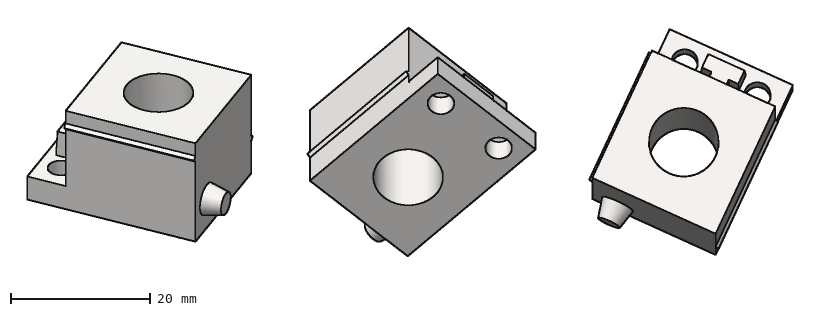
import cadquery as cq

ledge_length = 6.05
block_length = 20.47
body_width = 19.5
body_height = 17.0
ledge_height = 4.0
body_length = ledge_length + block_length
block_center_x = ledge_length + block_length / 2
bore_diameter = 10.0

mount_hole_diameter = 3.8
mount_hole_x = 3.5
mount_hole_spacing = 11.5

ridge_depth = 0.5
front_ridge_z = 14.3
back_ridge_z = 6.05

key_start_x = 1.5
key_head_length = 2.48
key_head_width = 6.05
key_stem_width = 3.05
key_height = 4.05
key_draft_angle = 2.2
key_overlap = 0.88

peg_base_diameter = 4.9
peg_tip_diameter = 3.45
peg_length = 29.5 - body_length
peg_y = -mount_hole_spacing / 2
peg_z = 5.0


def make_body():
    """L-shaped side profile, extruded across the full width."""
    return (
        cq.Workplane("XZ")
        .polyline([
            (0, 0),
            (body_length, 0),
            (body_length, body_height),
            (ledge_length, body_height),
            (ledge_length, ledge_height),
            (0, ledge_height),
        ])
        .close()
        .extrude(body_width / 2, both=True)
    )


def make_ridge(side, center_z):
    """Triangular ridge on the +Y (side = 1) or -Y (side = -1) block face."""
    face_y = side * body_width / 2
    return (
        cq.Workplane("YZ", origin=(ledge_length, face_y, center_z))
        .polyline([(0, -ridge_depth), (side * ridge_depth, 0), (0, ridge_depth)])
        .close()
        .extrude(block_length)
    )


def make_drafted_bar(start_x, end_x, width):
    """Rectangular bar standing on the ledge and narrowing upward on all sides."""
    return (
        cq.Workplane("XY", origin=((start_x + end_x) / 2, 0, ledge_height))
        .rect(end_x - start_x, width)
        .extrude(key_height, taper=key_draft_angle)
    )


def make_key():
    """T-shaped key: a wide head, and a narrow stem that runs into the block."""
    head = make_drafted_bar(key_start_x, key_start_x + key_head_length, key_head_width)
    stem = make_drafted_bar(key_start_x, ledge_length + key_overlap, key_stem_width)
    return head.union(stem)


def make_peg():
    """Truncated cone pointing along +X."""
    return cq.Workplane(cq.Solid.makeCone(
        peg_base_diameter / 2,
        peg_tip_diameter / 2,
        peg_length,
        pnt=cq.Vector(body_length, peg_y, peg_z),
        dir=cq.Vector(1, 0, 0),
    ))


def make_vertical_hole(x, y, diameter):
    """Cutter for a hole through the full height."""
    return cq.Workplane("XY").center(x, y).circle(diameter / 2).extrude(body_height)


result = make_body()
result = result.union(make_ridge(-1, front_ridge_z))
result = result.union(make_ridge(1, back_ridge_z))
result = result.union(make_key())
result = result.union(make_peg())
result = result.cut(make_vertical_hole(block_center_x, 0, bore_diameter))
for side in (-1, 1):
    hole_y = side * mount_hole_spacing / 2
    result = result.cut(make_vertical_hole(mount_hole_x, hole_y, mount_hole_diameter))